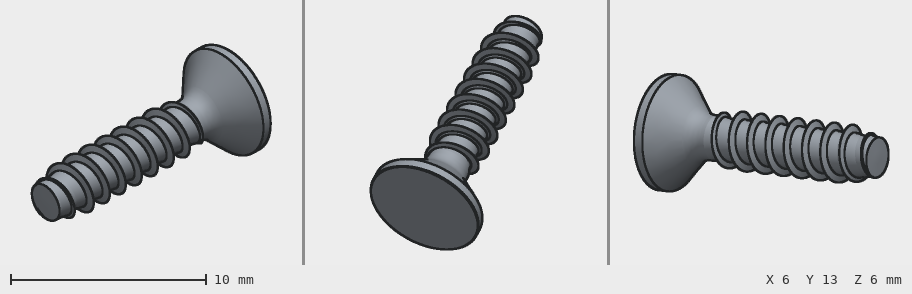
import cadquery as cq
import math


total_length = 13.0
head_radius = 3.0
rim_height = 0.55
rim_break = 0.04

neck_radius = 1.17
neck_fillet = 1.22
neck_end = 3.11
neck_taper = 0.43

core_radius = 1.04
tip_rim = 0.05
tip_rise = 0.04

pitch = 1.12
thread_start = 2.92
start_angle = -90.0
crest_radius = 1.52
crest_land = 0.01
upper_flank_slope = 0.3
knee_radius = 1.17
root_slope = 0.75
lower_flank_slope = 0.38
lead_in_turns = 1.25
full_turns = 6.25
run_out_turns = 1.5
lead_in_drop = 0.26
run_out_drop = 0.48
embed_depth = 0.13

swell_radius = 1.16
swell_start = 0.04
swell_end = 0.79
swell_overlap = 0.01
swell_fade_turns = 1.0
swell_fade_drop = 0.09

ORIGIN = cq.Vector(0, 0, 0)
Z_AXIS = cq.Vector(0, 0, 1)


def helix_edge(radius, radius_growth, z_start, turns, turns_before):
    """One stretch of helix whose radius changes evenly along its length."""
    height = turns * pitch
    if radius_growth == 0:
        helix = cq.Wire.makeHelix(pitch, height, radius)
    else:
        cone_angle = math.atan2(radius_growth, height)
        stretch = 1 / math.cos(cone_angle)
        helix = cq.Wire.makeHelix(pitch * stretch, height * stretch, radius, angle=math.degrees(cone_angle))
    angle = start_angle + 360 * turns_before
    return helix.rotate(ORIGIN, Z_AXIS, angle).translate(cq.Vector(0, 0, z_start)).Edges()[0]


def helical_solid(profile, start_drop, stretches):
    """Sweep (radius, axial offset) points along the thread; each stretch is (turns, drop at its end)."""
    faces = []
    turns_before = 0
    drop = start_drop
    first_edges = []
    for turns, end_drop in stretches:
        z_crest = thread_start + turns_before * pitch
        edges = [
            helix_edge(radius - drop, drop - end_drop, z_crest + offset, turns, turns_before)
            for radius, offset in profile
        ]
        for edge, neighbour in zip(edges, edges[1:] + edges[:1]):
            faces.append(cq.Face.makeRuledSurface(edge, neighbour))
        first_edges = first_edges or edges
        turns_before += turns
        drop = end_drop
    start_corners = [edge.startPoint() for edge in first_edges]
    end_corners = [edge.endPoint() for edge in edges]
    for corners in (start_corners, end_corners):
        faces.append(cq.Face.makeFromWires(cq.Wire.makePolygon(corners, close=True)))
    return cq.Workplane(cq.Solid.makeSolid(cq.Shell.makeShell(faces)))


def make_body():
    """Head, neck, core and tip as one turned shape."""
    fillet_angle = math.pi / 4
    half_angle = fillet_angle / 2
    fillet_drop = neck_fillet * (1 - math.cos(fillet_angle))
    cone_end_radius = neck_radius + fillet_drop
    cone_end = rim_height + head_radius - cone_end_radius
    fillet_end = cone_end + neck_fillet * math.sin(fillet_angle)
    fillet_middle = (
        neck_radius + neck_fillet * (1 - math.cos(half_angle)),
        fillet_end - neck_fillet * math.sin(half_angle),
    )
    tip_edge = total_length - tip_rise
    outline = (
        cq.Workplane("XZ")
        .lineTo(head_radius - rim_break, 0)
        .lineTo(head_radius, rim_break)
        .lineTo(head_radius, rim_height)
        .lineTo(cone_end_radius, cone_end)
        .threePointArc(fillet_middle, (neck_radius, fillet_end))
        .lineTo(neck_radius, neck_end)
        .lineTo(core_radius, neck_end + neck_taper)
        .lineTo(core_radius, tip_edge)
        .lineTo(core_radius - tip_rim, tip_edge)
        .lineTo(0, total_length)
        .close()
    )
    return outline.revolve(360, (0, 0, 0), (0, 1, 0))


def make_blade():
    """Sharp thread blade, rising at the neck and sinking into the core at the tip."""
    root_radius = core_radius - embed_depth
    depth = crest_radius - root_radius
    half_land = crest_land / 2
    knee_offset = -half_land - (crest_radius - knee_radius) * upper_flank_slope
    profile = [
        (root_radius, knee_offset - (knee_radius - root_radius) * root_slope),
        (knee_radius, knee_offset),
        (crest_radius, -half_land),
        (crest_radius, half_land),
        (root_radius, half_land + depth * lower_flank_slope),
    ]
    stretches = [(lead_in_turns, 0), (full_turns, 0), (run_out_turns, run_out_drop)]
    return helical_solid(profile, lead_in_drop, stretches)


def make_swell():
    """Low ramp on the tip side of the blade, falling to the core before the next turn."""
    root_radius = core_radius - embed_depth
    profile = [
        (root_radius, swell_start),
        (swell_radius, swell_start),
        (core_radius - swell_overlap, swell_end),
        (root_radius, swell_end),
    ]
    all_turns = lead_in_turns + full_turns + run_out_turns
    stretches = [(all_turns - swell_fade_turns, 0), (swell_fade_turns, swell_fade_drop)]
    return helical_solid(profile, 0, stretches)


def make_thread_zone():
    """Cylinder that keeps the thread between the neck and the edge of the tip."""
    zone_length = total_length - tip_rise - neck_end
    return cq.Workplane("XY").workplane(offset=neck_end).circle(head_radius).extrude(zone_length)


screw = make_body()
for helical_part in (make_swell(), make_blade()):
    screw = screw.union(helical_part.intersect(make_thread_zone()))

result = screw.rotate((0, 0, 0), (1, 0, 0), 90)